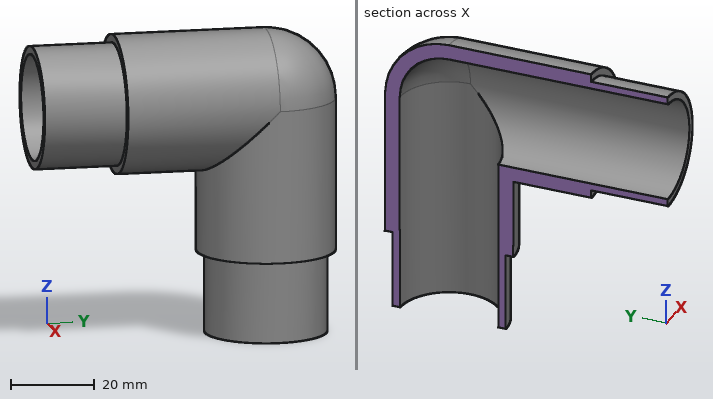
import cadquery as cq

body_diameter = 33.7
spigot_diameter = 29.7
bore_diameter = 25.7
overall_length = 74.0
spigot_length = 20.0

leg_length = overall_length - body_diameter / 2
body_length = leg_length - spigot_length

HORIZONTAL = (0, -1, 0)
VERTICAL = (0, 0, -1)


def rod(diameter, length, direction):
    """Solid cylinder from the corner along one leg."""
    plane = cq.Plane(origin=(0, 0, 0), xDir=(1, 0, 0), normal=direction)
    return cq.Workplane(plane).circle(diameter / 2).extrude(length)


def elbow(diameter, length):
    """Two perpendicular rods joined by a ball at the corner."""
    ball = cq.Workplane("XY").sphere(diameter / 2)
    horizontal_leg = rod(diameter, length, HORIZONTAL)
    vertical_leg = rod(diameter, length, VERTICAL)
    return horizontal_leg.union(vertical_leg).union(ball)


body = elbow(body_diameter, body_length)
for leg_direction in (HORIZONTAL, VERTICAL):
    body = body.union(rod(spigot_diameter, leg_length, leg_direction))

result = body.cut(elbow(bore_diameter, leg_length))